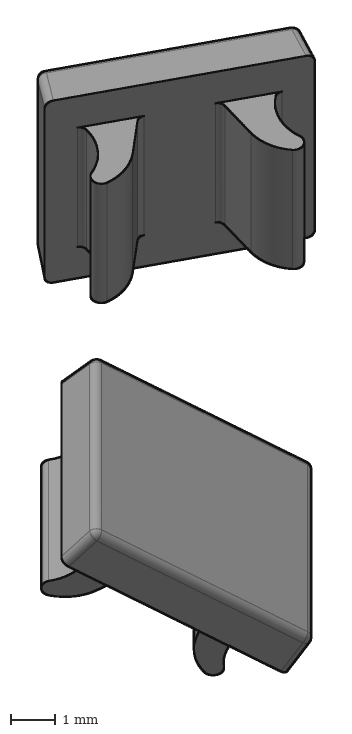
import cadquery as cq
import math

plate_length = 6.3
plate_height = 5.8
plate_thickness = 1.17
draft_angle = 5
edge_radius = 0.205
tilt_angle = 20

arm_height = 3.8
arm_root_inner = 0.97
arm_root_outer = 2.26
flank_angle = 20
flank_reach = 1.12
curve_radius = 1.3
tip_radius = 0.25
tip_reach = 1.64
tip_offset = 2.24
tip_inner_angle = -18
tip_outer_angle = 125
root_radius = 0.2
root_overlap = 0.06


def tip_point(angle):
    """Point on the round arm tip, as (reach from back face, offset along plate)."""
    turn = math.radians(angle)
    return (tip_reach + tip_radius * math.cos(turn), tip_offset + tip_radius * math.sin(turn))


def make_plate():
    """Drafted plate with its back face on X = 0, rounded on all edges but the back ones."""
    plate = (
        cq.Workplane("YZ")
        .rect(plate_length, plate_height)
        .extrude(-plate_thickness, taper=draft_angle)
    )
    return plate.edges("not >X").fillet(edge_radius)


def make_arm():
    """Arm on the +Y half of the plate, curling away from the plate middle."""
    flank_end = (flank_reach, arm_root_inner + flank_reach * math.tan(math.radians(flank_angle)))
    tip_middle_angle = (tip_inner_angle + tip_outer_angle) / 2
    return (
        cq.Workplane("XY")
        .workplane(offset=-arm_height / 2)
        .moveTo(-root_overlap, arm_root_inner)
        .lineTo(0, arm_root_inner)
        .lineTo(*flank_end)
        .radiusArc(tip_point(tip_inner_angle), -curve_radius)
        .threePointArc(tip_point(tip_middle_angle), tip_point(tip_outer_angle))
        .radiusArc((0, arm_root_outer), curve_radius)
        .lineTo(-root_overlap, arm_root_outer)
        .close()
        .extrude(arm_height)
    )


def round_roots(body):
    """Fillet the four upright corners where the arm flanks meet the back face."""
    reach = root_overlap / 2
    margin = root_overlap / 2
    root_zone = cq.selectors.BoxSelector(
        (-reach, -arm_root_outer - margin, -arm_height),
        (reach, arm_root_outer + margin, arm_height),
    )
    return body.edges("|Z").edges(root_zone).fillet(root_radius)


arm = make_arm()
body = make_plate().union(arm).union(arm.mirror("XZ"))
result = round_roots(body).rotate((0, 0, 0), (0, 0, 1), -tilt_angle)